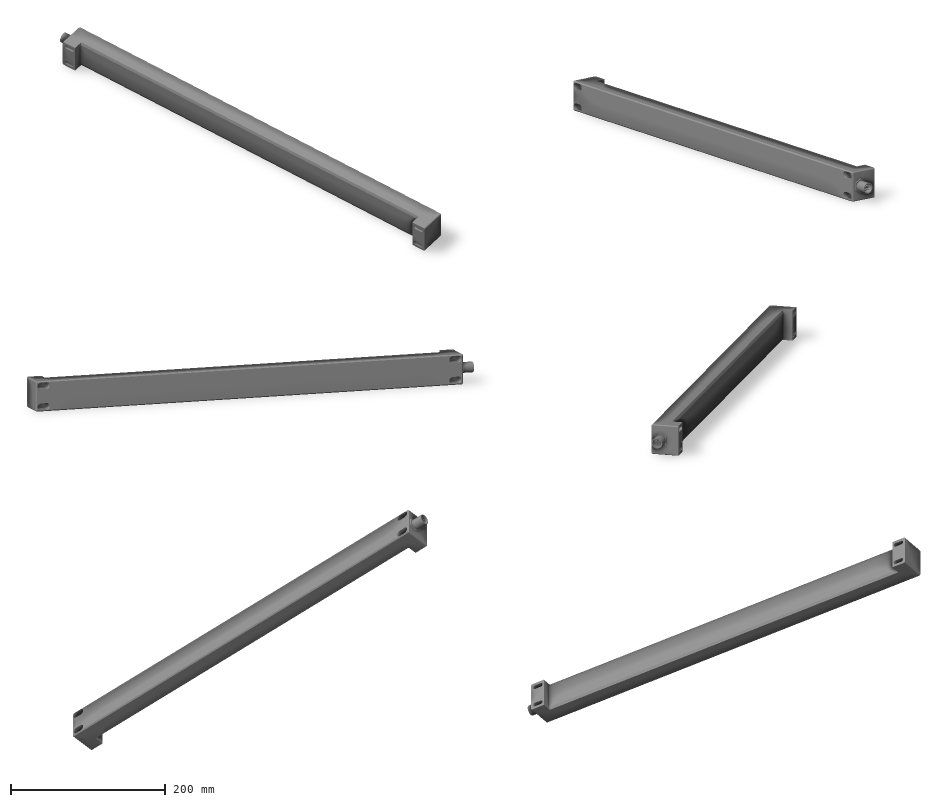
import cadquery as cq
import math

overall_length = 603.0
depth = 36.5
height = 40.0

connector_length = 17.0
body_length = overall_length - connector_length
lug_length = 20.0
recess_depth = 12.0
corner_radius = 1.8
back_edge_chamfer = 1.5
bar_bevel_height = 3.5
bar_bevel_depth = 1.5

slot_length = 14.5
slot_width = 5.5
slot_spacing = 27.5
slot_end_offset = 10.5
slot_lip = 7.0
slot_rear_length = 17.0
slot_rear_width = 9.0

connector_y = 24.0
connector_diameter = 14.0
connector_bore = 12.0
connector_bore_depth = 9.0
nut_across_flats = 17.0
nut_thickness = 1.5
nut_sides = 6
pin_diameter = 1.5
pin_length = 7.0
pin_circle_diameter = 5.5
pin_count = 4
pin_start_angle = 45.0

recess_length = body_length - 2 * lug_length


def box_between(x_range, y_range, z_range):
    """Box spanning the given ranges along X, Y and Z."""
    size = [high - low for low, high in (x_range, y_range, z_range)]
    corner = (x_range[0], y_range[0], z_range[0])
    return cq.Workplane("XY").box(*size, centered=False).translate(corner)


def make_body():
    """Bar with rounded corners, a chamfered back and a lug at each end."""
    half = height / 2
    body = box_between((0, body_length), (0, depth), (-half, half))
    body = body.edges("|Y").fillet(corner_radius)
    body = body.faces(">Y").edges().chamfer(back_edge_chamfer)
    recess_end = lug_length + recess_length
    recess = box_between((lug_length, recess_end), (0, recess_depth), (-half, half))
    return body.cut(recess)


def bar_bevel(side):
    """Wedge that bevels one long front edge of the bar; side is +1 or -1."""
    edge_z = side * height / 2
    return (
        cq.Workplane("YZ", origin=(lug_length, 0, 0))
        .moveTo(recess_depth, edge_z)
        .lineTo(recess_depth + bar_bevel_depth, edge_z)
        .lineTo(recess_depth, edge_z - side * bar_bevel_height)
        .close()
        .extrude(recess_length)
    )


def slot_cutter(x, z, length, width, start_y):
    """Straight slot along X, cut from start_y through to the back."""
    return (
        cq.Workplane("XZ", origin=(x, start_y, z))
        .slot2D(length, width)
        .extrude(start_y - depth)
    )


def cut_mounting_slots(body):
    """Two stepped slots through each lug."""
    for x in (slot_end_offset, body_length - slot_end_offset):
        for z in (-slot_spacing / 2, slot_spacing / 2):
            body = body.cut(slot_cutter(x, z, slot_length, slot_width, 0))
            body = body.cut(slot_cutter(x, z, slot_rear_length, slot_rear_width, slot_lip))
    return body


def connector_section(start_x):
    """Sketch plane square to the connector axis at start_x; -X is away from the body."""
    return cq.Workplane("YZ", origin=(start_x, connector_y, 0))


def make_connector():
    """Hex nut and hollow round socket with contact pins."""
    corner_diameter = nut_across_flats / math.cos(math.pi / nut_sides)
    nut = (
        connector_section(0)
        .transformed(rotate=(0, 0, 90))
        .polygon(nut_sides, corner_diameter)
        .extrude(-nut_thickness)
    )
    barrel = connector_section(0).circle(connector_diameter / 2).extrude(-connector_length)
    bore = connector_section(-connector_length).circle(connector_bore / 2).extrude(connector_bore_depth)
    pins = (
        connector_section(connector_bore_depth - connector_length)
        .polarArray(pin_circle_diameter / 2, pin_start_angle, 360, pin_count)
        .circle(pin_diameter / 2)
        .extrude(-pin_length)
    )
    return nut.union(barrel).cut(bore).union(pins)


body = make_body()
for side in (1, -1):
    body = body.cut(bar_bevel(side))
result = cut_mounting_slots(body).union(make_connector())